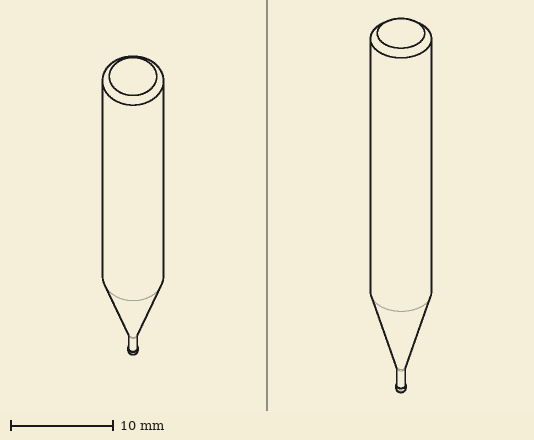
import cadquery as cq
import math

total_length = 45.0
shank_diameter = 6.0
shank_chamfer = 0.68

ball_diameter = 1.0
cutter_length = 0.75

neck_diameter = 0.85
neck_end_z = 2.95
cone_start_z = 3.2
cone_end_z = 12.5

shank_radius = shank_diameter / 2
ball_radius = ball_diameter / 2
neck_radius = neck_diameter / 2


def make_cutter():
    """Cutting head: a short cylinder ending in a hemispherical tip."""
    arc_middle_x = ball_radius * math.sin(math.pi / 4)
    arc_middle_z = ball_radius * (1 - math.cos(math.pi / 4))
    return (
        cq.Workplane("XZ")
        .moveTo(0, 0)
        .threePointArc((arc_middle_x, arc_middle_z), (ball_radius, ball_radius))
        .lineTo(ball_radius, cutter_length)
        .lineTo(0, cutter_length)
        .close()
        .revolve(360, (0, 0), (0, 1))
    )


def make_holder():
    """Relieved neck, flare back to the ball diameter, long cone and chamfered shank."""
    return (
        cq.Workplane("XZ")
        .moveTo(0, cutter_length)
        .lineTo(neck_radius, cutter_length)
        .lineTo(neck_radius, neck_end_z)
        .lineTo(ball_radius, cone_start_z)
        .lineTo(shank_radius, cone_end_z)
        .lineTo(shank_radius, total_length - shank_chamfer)
        .lineTo(shank_radius - shank_chamfer, total_length)
        .lineTo(0, total_length)
        .close()
        .revolve(360, (0, 0), (0, 1))
    )


cutter = make_cutter()
holder = make_holder()

result = cq.Compound.makeCompound([cutter.val(), holder.val()])